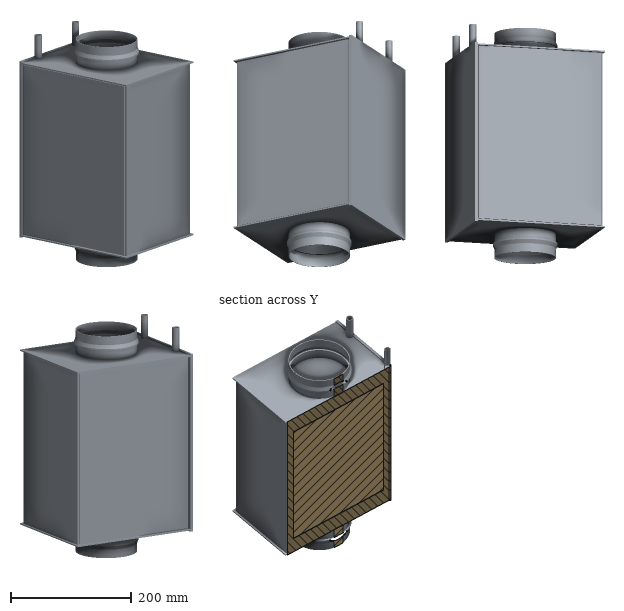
import cadquery as cq
TOTAL_X = 225.0
TOTAL_Y = 183.0
TOTAL_Z = 380.0

COVER_THICKNESS = 5.0
COVER_HEIGHT = 304.0

HOUSING_HEIGHT = 300.0
PLATE_THICKNESS = 2.3
PLATE_OVERHANG_X = 3.5
BOX_RECESS_Y = 5.5
PANEL_RAISE = 2.5
PANEL_MARGIN_X = 2.5
PANEL_MARGIN_Z = 1.5

PANEL_SKIN = 1.0
CORE_MARGIN_X = 9.0
CORE_MARGIN_Z = 26.0

SPIGOT_X = 0.5
SPIGOT_RADIUS = 51.3
SPIGOT_WALL = 1.0
BEAD_RAISE = 2.5
BEAD_START = 16.5
BEAD_CREST = 19.0
BEAD_END = 25.5

TUBE_X = -104.5
TUBE_SPACING = 100.5
TUBE_RADIUS = 6.0
TUBE_WALL = 1.0

TOP_Z = TOTAL_Z / 2
HOUSING_TOP = HOUSING_HEIGHT / 2
SPIGOT_HEIGHT = TOP_Z - HOUSING_TOP
TUBE_POSITIONS_Y = (-TUBE_SPACING / 2, TUBE_SPACING / 2)

COVER_BACK_X = -TOTAL_X / 2 + COVER_THICKNESS
PLATE_LENGTH = TOTAL_X - COVER_THICKNESS
BOX_LENGTH = PLATE_LENGTH - PLATE_OVERHANG_X
BOX_WIDTH = TOTAL_Y - 2 * BOX_RECESS_Y
BOX_HEIGHT = HOUSING_HEIGHT - 2 * PLATE_THICKNESS
BOX_CENTER_X = COVER_BACK_X + BOX_LENGTH / 2
PANEL_LENGTH = BOX_LENGTH - 2 * PANEL_MARGIN_X
PANEL_WIDTH = BOX_WIDTH + 2 * PANEL_RAISE
PANEL_HEIGHT = BOX_HEIGHT - 2 * PANEL_MARGIN_Z


def block(length, width, height, center_x, center_z=0):
    """Rectangular block centred on Y = 0."""
    return cq.Workplane("XY", origin=(center_x, 0, center_z)).box(length, width, height)


def make_core():
    """Rectangular core that fills the cavity of the housing."""
    length = PANEL_LENGTH - 2 * CORE_MARGIN_X
    width = PANEL_WIDTH - 2 * PANEL_SKIN
    height = PANEL_HEIGHT - 2 * CORE_MARGIN_Z
    return block(length, width, height, BOX_CENTER_X)


def make_housing():
    """Box with raised panels on both Y sides, end plates and a cavity for the core."""
    housing = block(BOX_LENGTH, BOX_WIDTH, BOX_HEIGHT, BOX_CENTER_X)
    housing = housing.union(block(PANEL_LENGTH, PANEL_WIDTH, PANEL_HEIGHT, BOX_CENTER_X))
    plate_center_x = COVER_BACK_X + PLATE_LENGTH / 2
    plate_center_z = HOUSING_TOP - PLATE_THICKNESS / 2
    for z in (-plate_center_z, plate_center_z):
        housing = housing.union(block(PLATE_LENGTH, TOTAL_Y, PLATE_THICKNESS, plate_center_x, z))
    return housing.cut(make_core())


def make_tube(y):
    """Open tube standing on the top plate."""
    base = cq.Workplane("XY", origin=(TUBE_X, y, HOUSING_TOP))
    return base.circle(TUBE_RADIUS).circle(TUBE_RADIUS - TUBE_WALL).extrude(TOP_Z - HOUSING_TOP)


def make_cover():
    """Cover plate with a round recess in its top edge for each tube."""
    cover = block(COVER_THICKNESS, TOTAL_Y, COVER_HEIGHT, COVER_BACK_X - COVER_THICKNESS / 2)
    for y in TUBE_POSITIONS_Y:
        recess = cq.Workplane("XY", origin=(TUBE_X, y, HOUSING_TOP)).circle(TUBE_RADIUS)
        cover = cover.cut(recess.extrude(TOP_Z - HOUSING_TOP))
    return cover


def spigot_wall_line(radius, bead_start):
    """Half section of one wall surface: plain sleeve, square ledge, then a taper back."""
    bead_radius = radius + BEAD_RAISE
    return [
        (radius, 0),
        (radius, bead_start),
        (bead_radius, bead_start),
        (bead_radius, BEAD_CREST),
        (radius, BEAD_END),
        (radius, SPIGOT_HEIGHT),
    ]


def make_spigot():
    """Top spigot; the bead is rolled, so the wall stays thin through it."""
    outer = spigot_wall_line(SPIGOT_RADIUS, BEAD_START)
    inner = spigot_wall_line(SPIGOT_RADIUS - SPIGOT_WALL, BEAD_START + SPIGOT_WALL)
    section = cq.Workplane("XZ", origin=(SPIGOT_X, 0, HOUSING_TOP)).polyline(outer + inner[::-1])
    return section.close().revolve(360, (0, 0, 0), (0, 1, 0))


core = make_core()
housing = make_housing()
cover = make_cover()
tubes = [make_tube(y) for y in TUBE_POSITIONS_Y]
top_spigot = make_spigot()
spigots = [top_spigot, top_spigot.mirror("XY")]

result = cq.Compound.makeCompound(
    [
        core.val(),
        housing.val(),
        cover.val(),
        *[tube.val() for tube in tubes],
        *[spigot.val() for spigot in spigots],
    ]
)